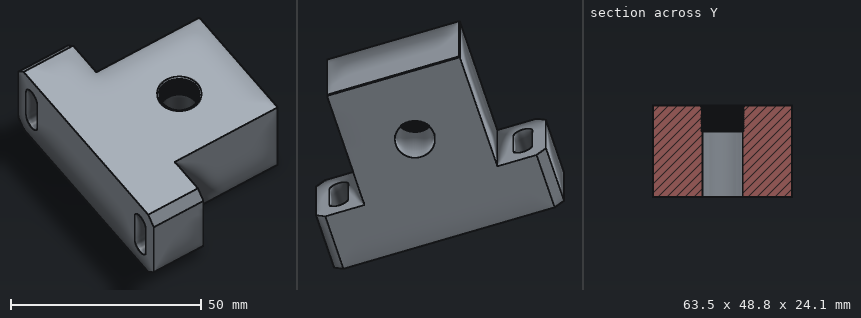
import cadquery as cq

length = 63.5
depth = 48.75
height = 24.1

plate_depth = 15.8
corner_chamfer = 2.6
slot_spacing = 50.8
slot_length = 14.85
slot_width = 5.3

block_width = 36.7
bevel_depth = 0.4
bevel_inset = 0.2

hole_y = 29.7
minor_diameter = 10.55
mouth_diameter = 11.75
thread_pitch = 0.5
groove_depth = 0.25
groove_count = 13
countersink_depth = 0.3


def make_plate():
    """Plate with chamfered corners and two vertical slots through it."""
    plate = (
        cq.Workplane("XY")
        .box(length, plate_depth, height, centered=(True, False, True))
        .edges("|Y")
        .chamfer(corner_chamfer)
    )
    slots = (
        cq.Workplane("XZ")
        .pushPoints([(-slot_spacing / 2, 0), (slot_spacing / 2, 0)])
        .slot2D(slot_length, slot_width, 90)
        .extrude(-plate_depth)
    )
    return plate.cut(slots)


def make_block():
    """Rectangular block whose rear edges carry the shallow bevel."""
    block_depth = depth - plate_depth
    return (
        cq.Workplane("XY")
        .box(block_width, block_depth, height, centered=(True, False, True))
        .translate((0, plate_depth, 0))
        .faces(">Y")
        .edges()
        .chamfer(bevel_depth, bevel_inset)
    )


def make_threaded_hole():
    """Cutter for the hole: countersunk top, ring grooves for the thread, plain bore below."""
    minor_radius = minor_diameter / 2
    mouth_radius = mouth_diameter / 2
    top = height / 2
    thread_top = top - countersink_depth

    profile = [(0, top), (mouth_radius, top), (minor_radius, thread_top)]
    for index in range(groove_count):
        groove_top = thread_top - index * thread_pitch
        profile.append((minor_radius + groove_depth, groove_top - thread_pitch / 2))
        profile.append((minor_radius, groove_top - thread_pitch))
    profile += [(minor_radius, -top), (0, -top)]

    cutter = cq.Workplane("XZ").polyline(profile).close().revolve(360, (0, 0), (0, 1))
    return cutter.translate((0, hole_y, 0))


result = make_plate().union(make_block()).cut(make_threaded_hole())